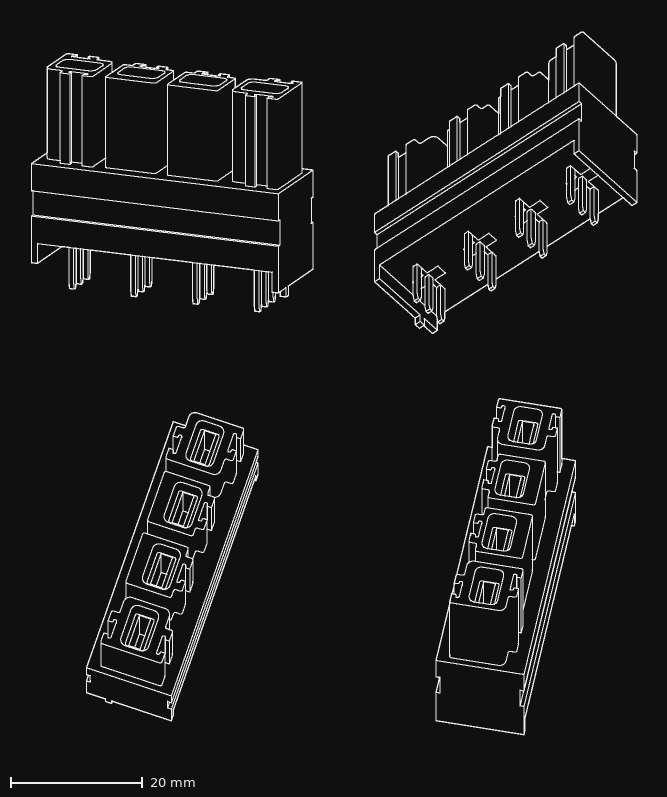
import cadquery as cq
import math

housing_top = 15.7
tower_top = 30.0
underside = 3.15
peg_bottom = -1.5
pin_bottom = -4.6

length = 40.64
width = 13.6
end_wall = 1.0
groove_depth = 0.6
groove_bottom = 7.4
groove_top = 11.4
peg_size = 1.0
peg_y = -3.25

pitch = 10.16
inner_x = pitch / 2
outer_x = inner_x + pitch
contact_positions = (-outer_x, -inner_x, inner_x, outer_x)

tower_half_width = 4.15
inner_front = -4.35
inner_back = 2.95
outer_half_depth = 3.65
edge_round = 0.3
outer_corner_round = 1.0

rail_height = 1.25
rail_half_span = 2.7
mouth_half_width = 1.0
undercut_half_width = 1.5
undercut_height = 0.5
undercut_round = 0.2
outer_rail_offset = tower_half_width - rail_half_span

funnel_length = 6.6
funnel_width = 4.4
funnel_round = 1.0
funnel_inset = 0.7
funnel_depth = 2.6
slot_length = 5.0
slot_width = 1.8

contact_top = housing_top
crossbar_height = 2.0
pin_thickness = 0.8
pin_width = 1.0
pin_pitch = 2.75
tip_width = 0.5
tip_length = 1.0
crossbar_length = 2 * pin_pitch + pin_width


def box(size_x, size_y, bottom, top, x=0.0, y=0.0):
    """Upright box centred on (x, y)."""
    return cq.Workplane("XY", origin=(x, y, bottom)).rect(size_x, size_y).extrude(top - bottom)


def rounded_prism(corners, x, bottom, top):
    """Prism from corners (x, y, radius); a radius above zero puts an arc at a right-angled corner."""
    outline = cq.Workplane("XY", origin=(x, 0, bottom))
    for i, (corner_x, corner_y, radius) in enumerate(corners):
        previous_x, previous_y, _ = corners[i - 1]
        next_x, next_y, _ = corners[(i + 1) % len(corners)]
        corner = cq.Vector(corner_x, corner_y)
        to_previous = (cq.Vector(previous_x, previous_y) - corner).normalized()
        to_next = (cq.Vector(next_x, next_y) - corner).normalized()
        arc_start = corner + to_previous * radius
        if i == 0:
            outline = outline.moveTo(arc_start.x, arc_start.y)
        else:
            outline = outline.lineTo(arc_start.x, arc_start.y)
        if radius > 0:
            arc_middle = corner + (to_previous + to_next) * (radius * (1 - math.sqrt(0.5)))
            arc_end = corner + to_next * radius
            outline = outline.threePointArc((arc_middle.x, arc_middle.y), (arc_end.x, arc_end.y))
    return outline.close().extrude(top - bottom)


def railed_face(corner_round, rail_center):
    """Corners (x, height, radius) of a tower face with its rails, from -X to +X."""
    half = [
        (rail_half_span, 0, edge_round),
        (rail_half_span, rail_height, edge_round),
        (mouth_half_width, rail_height, 0),
        (mouth_half_width, undercut_height, undercut_round),
        (undercut_half_width, undercut_height, undercut_round),
        (undercut_half_width, 0, undercut_round),
    ]
    left = [(rail_center - x, height, radius) for x, height, radius in half]
    right = [(rail_center + x, height, radius) for x, height, radius in reversed(half)]
    left = left[1:] if rail_center < 0 else [(-tower_half_width, 0, corner_round)] + left
    right = right[:-1] if rail_center > 0 else right + [(tower_half_width, 0, corner_round)]
    return left + right


def inner_tower(x):
    back = railed_face(edge_round, 0)
    corners = [(px, inner_back + height, radius) for px, height, radius in back]
    corners += [
        (tower_half_width, inner_front, edge_round),
        (-tower_half_width, inner_front, edge_round),
    ]
    return rounded_prism(corners, x, housing_top, tower_top)


def outer_tower(x, back_rail_center, front_rail_center):
    back = railed_face(outer_corner_round, back_rail_center)
    front = railed_face(outer_corner_round, front_rail_center)
    corners = [(px, outer_half_depth + height, radius) for px, height, radius in back]
    corners += [(px, -outer_half_depth - height, radius) for px, height, radius in reversed(front)]
    return rounded_prism(corners, x, housing_top, tower_top)


def funnel(x):
    taper = math.degrees(math.atan(funnel_inset / funnel_depth))
    mouth = cq.Sketch().rect(funnel_length, funnel_width).vertices().fillet(funnel_round)
    plane = cq.Workplane("XY", origin=(x, 0, tower_top))
    return plane.placeSketch(mouth).extrude(-funnel_depth, taper=taper)


def contact_envelope(x, core_top):
    """Core and crossbar of one contact, with the core carried up to core_top."""
    core = box(slot_length, slot_width, underside, core_top, x)
    crossbar = box(pin_thickness, crossbar_length, underside, underside + crossbar_height, x)
    return core.union(crossbar)


def make_housing():
    body = box(length, width, 0, housing_top)
    body = body.cut(box(length - 2 * end_wall, width, 0, underside))
    for side in (-1, 1):
        groove_y = side * (width - groove_depth) / 2
        body = body.cut(box(length, groove_depth, groove_bottom, groove_top, y=groove_y))
    body = body.union(box(peg_size, peg_size, peg_bottom, underside, (length - peg_size) / 2, peg_y))

    body = body.union(outer_tower(-outer_x, -outer_rail_offset, outer_rail_offset))
    body = body.union(inner_tower(-inner_x))
    body = body.union(inner_tower(inner_x))
    body = body.union(outer_tower(outer_x, outer_rail_offset, outer_rail_offset))

    for x in contact_positions:
        body = body.cut(funnel(x))
        body = body.cut(contact_envelope(x, tower_top - funnel_depth))
    return body


def make_pin(x, y):
    taper_start = pin_bottom + tip_length
    outline = [
        (y - pin_width / 2, underside),
        (y - pin_width / 2, taper_start),
        (y - tip_width / 2, pin_bottom),
        (y + tip_width / 2, pin_bottom),
        (y + pin_width / 2, taper_start),
        (y + pin_width / 2, underside),
    ]
    plane = cq.Workplane("YZ", origin=(x, 0, 0))
    return plane.polyline(outline).close().extrude(pin_thickness / 2, both=True)


def make_contact(x):
    contact = contact_envelope(x, contact_top)
    for y in (-pin_pitch, 0, pin_pitch):
        contact = contact.union(make_pin(x, y))
    return contact


housing = make_housing()
contacts = [make_contact(x) for x in contact_positions]

result = cq.Compound.makeCompound([housing.val(), *[contact.val() for contact in contacts]])